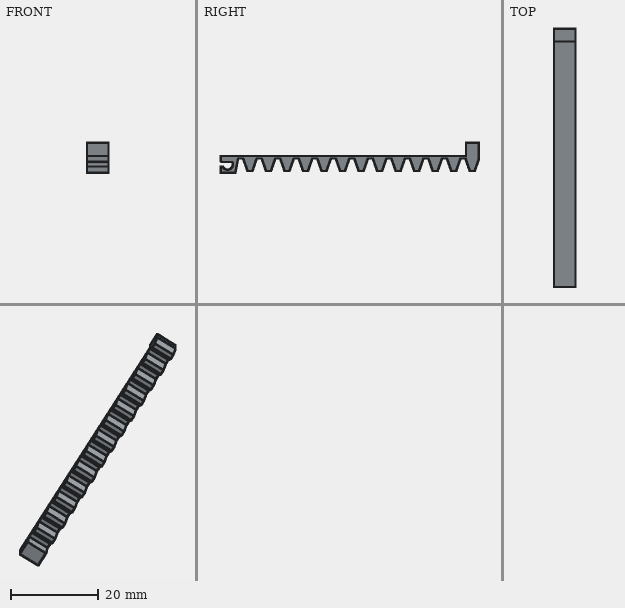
import cadquery as cq
import math

width = 5.0
length = 59.18
height = 6.9

stop_height = 3.0
stop_length = 3.0
strip_top = height - stop_height
strip_thickness = 0.65
tooth_root = strip_top - strip_thickness

tooth_count = 13
tooth_pitch = 4.242
tooth_depth = 2.87
tooth_tip_width = 1.13
flank_angle = 19.3
first_tooth_inset = 1.54
tooth_tip = tooth_root - tooth_depth

clip_root_length = 4.05
clip_bottom_length = 3.4
pin_radius = 1.2
pin_inset = 1.6
pin_height = 1.95
mouth_opening = 1.05
mouth_top = pin_height + mouth_opening / 2
mouth_bottom = pin_height - mouth_opening / 2
upper_jaw_rounding = 0.4

rear_y = length / 2
front_y = -length / 2


def block(y_start, y_end, z_bottom, z_top):
    """Full-width box spanning the given Y and Z ranges."""
    size_y = y_end - y_start
    size_z = z_top - z_bottom
    corner = (-width / 2, y_start, z_bottom)
    return cq.Workplane("XY").box(width, size_y, size_z, centered=False).translate(corner)


def prism(points):
    """Full-width extrusion of a (y, z) polygon."""
    return cq.Workplane("YZ").polyline(points).close().extrude(width / 2, both=True)


def make_tooth(center_y):
    """Straight-flanked rack tooth, extended up to the top of the strip."""
    tip_half = tooth_tip_width / 2
    root_half = tip_half + tooth_depth * math.tan(math.radians(flank_angle))
    return prism([
        (center_y - root_half, strip_top),
        (center_y - root_half, tooth_root),
        (center_y - tip_half, tooth_tip),
        (center_y + tip_half, tooth_tip),
        (center_y + root_half, tooth_root),
        (center_y + root_half, strip_top),
    ])


def make_clip_body():
    """Solid end block with a sloped inner side."""
    return prism([
        (front_y, 0),
        (front_y + clip_bottom_length, 0),
        (front_y + clip_root_length, tooth_root),
        (front_y + clip_root_length, strip_top),
        (front_y, strip_top),
    ])


def make_clip_socket():
    """Round pin seat with a flat ceiling, open to the -Y end through a narrower mouth."""
    pin_y = front_y + pin_inset
    seat = (
        cq.Workplane("YZ")
        .center(pin_y, pin_height)
        .circle(pin_radius)
        .extrude(width / 2, both=True)
    )
    below_ceiling = block(pin_y - pin_radius, pin_y + pin_radius, 0, mouth_top)
    mouth = block(front_y, pin_y, mouth_bottom, mouth_top)
    return seat.intersect(below_ceiling).union(mouth)


def make_upper_jaw_relief():
    """Material removed to round the lower outer edge of the upper jaw."""
    inner_y = front_y + upper_jaw_rounding
    upper_z = mouth_top + upper_jaw_rounding
    rounding = (
        cq.Workplane("YZ")
        .center(inner_y, upper_z)
        .circle(upper_jaw_rounding)
        .extrude(width / 2, both=True)
    )
    return block(front_y, inner_y, mouth_top, upper_z).cut(rounding)


rack = block(front_y, rear_y, tooth_root, strip_top)
rack = rack.union(block(rear_y - stop_length, rear_y, tooth_root, height))
for index in range(tooth_count):
    rack = rack.union(make_tooth(rear_y - first_tooth_inset - index * tooth_pitch))
rack = rack.union(make_clip_body())

rack = rack.intersect(block(front_y, rear_y, 0, height))

result = rack.cut(make_clip_socket()).cut(make_upper_jaw_relief()).clean()